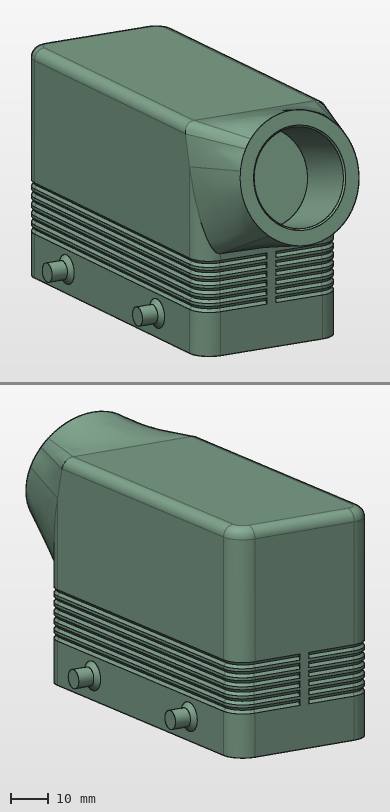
import cadquery as cq
import math

overall_length = 112.8
body_length = 93.5
body_width = 43.1
body_height = 63.0
corner_radius = 6.0
top_edge_radius = 3.0

neck_tilt = 14.4
neck_diameter = 36.0
neck_length = (overall_length - body_length) / math.cos(math.radians(neck_tilt))
bore_diameter = 27.0
bore_depth = neck_length
bore_chamfer = 0.5

groove_count = 6
groove_pitch = 2.5
groove_width = 1.7
groove_depth = 0.7
lowest_groove_z = 13.0
web_width = 2.8

pin_span = 55.0
pin_diameter = 5.2
pin_positions_x = (22.9, 70.4)
pin_z = 6.7
collar_diameter = 8.0
collar_height = 1.2


def make_neck_plane():
    """Cut plane sloping down to the body's +X face; its normal is the neck axis."""
    tilt = math.radians(neck_tilt)
    half_slope = neck_diameter / 2
    center = (
        body_length - half_slope * math.sin(tilt),
        0,
        body_height - half_slope * math.cos(tilt),
    )
    return cq.Plane(
        origin=center,
        xDir=(0, 1, 0),
        normal=(math.cos(tilt), 0, math.sin(tilt)),
    )


def make_body(neck_plane):
    """Rounded block with the corner beyond the neck plane cut away."""
    block = (
        cq.Workplane("XY")
        .box(body_length, body_width, body_height, centered=(False, True, False))
        .edges("|Z").fillet(corner_radius)
        .faces(">Z").edges().fillet(top_edge_radius)
    )
    beyond_neck_plane = (
        cq.Workplane(neck_plane)
        .rect(2 * body_width, 4 * body_height)
        .extrude(body_length)
    )
    return block.cut(beyond_neck_plane)


def make_neck(body, neck_plane, mouth_plane):
    """Straight blend from the tilted section of the body to the round mouth."""
    cut_face = body.faces(cq.selectors.ParallelDirSelector(neck_plane.zDir)).val()
    mouth = cq.Workplane(mouth_plane).circle(neck_diameter / 2).wire().val()
    blend = cq.Solid.makeLoft([cut_face.outerWire(), mouth], True)
    return cq.Workplane(obj=blend)


def make_bore(mouth_plane):
    """Blind bore through the neck, chamfered at the mouth."""
    bore_radius = bore_diameter / 2
    bore = cq.Workplane(mouth_plane).circle(bore_radius).extrude(-bore_depth)
    flare = (
        cq.Workplane(mouth_plane)
        .circle(bore_radius + bore_chamfer)
        .workplane(offset=-bore_chamfer)
        .circle(bore_radius)
        .loft(ruled=True)
    )
    return bore.union(flare)


def make_groove():
    """V-grooved ring around the body at Z = 0, left open at the web on each end face."""
    root_length = body_length - 2 * groove_depth
    root_width = body_width - 2 * groove_depth
    half_width = groove_width / 2
    flank_angle = math.degrees(math.atan(groove_depth / half_width))
    half_core = (
        cq.Workplane("XY")
        .sketch()
        .rect(root_length, root_width)
        .vertices().fillet(corner_radius - groove_depth)
        .finalize()
        .extrude(half_width, taper=-flank_angle)
    )
    core = half_core.union(half_core.mirror("XY"))
    web = cq.Workplane("XY").box(2 * body_length, web_width, groove_width)
    slab = cq.Workplane("XY").box(
        body_length + 2 * groove_depth, body_width + 2 * groove_depth, groove_width
    )
    return slab.cut(core).cut(web).translate((body_length / 2, 0, 0))


def make_pin_pair(x):
    """Two opposite pins, revolved about one line across the body."""
    collar_base = body_width / 2
    pin_radius = pin_diameter / 2
    half_profile = (
        cq.Workplane("XY")
        .moveTo(0, 0)
        .lineTo(collar_diameter / 2, 0)
        .lineTo(collar_diameter / 2, collar_base)
        .lineTo(pin_radius, collar_base + collar_height)
        .lineTo(pin_radius, pin_span / 2)
        .lineTo(0, pin_span / 2)
        .close()
    )
    half = half_profile.revolve(360, (0, 0), (0, 1))
    return half.union(half.mirror("XZ")).translate((x, 0, pin_z))


neck_plane = make_neck_plane()
mouth_plane = cq.Plane(
    origin=neck_plane.toWorldCoords((0, 0, neck_length)),
    xDir=-neck_plane.yDir,
    normal=neck_plane.zDir,
)

body = make_body(neck_plane)
neck = make_neck(body, neck_plane, mouth_plane)
result = body.union(neck).cut(make_bore(mouth_plane))

groove = make_groove()
for index in range(groove_count):
    groove_z = lowest_groove_z + index * groove_pitch
    result = result.cut(groove.translate((0, 0, groove_z)))

for pin_x in pin_positions_x:
    result = result.union(make_pin_pair(pin_x))